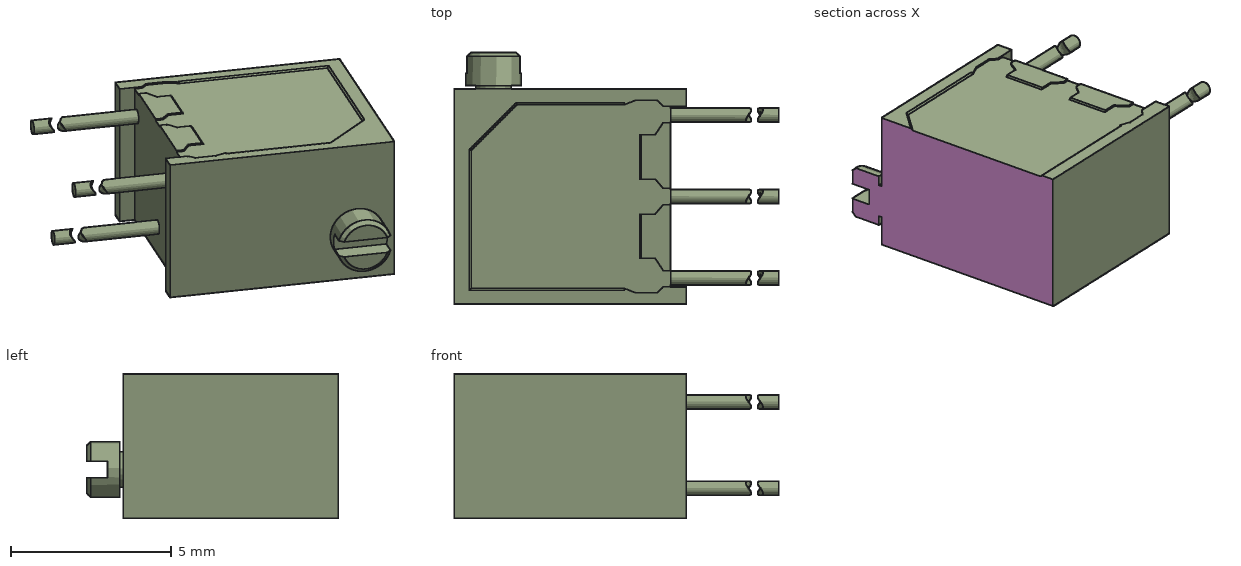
import cadquery as cq


overall_length = 10.12
housing_length = 7.24
housing_width = 6.71
housing_height = 4.5
mid_y = housing_width / 2

channel_depth = 0.49
channel_half_width = 2.81
channel_floor_x = housing_length - channel_depth

recess_depth = 0.05
recess_left_x = 0.47
recess_half_width = 2.92
recess_corner = 1.47
wall_draft = 0.06
recess_floor_z = housing_height - recess_depth

ear_start_x = 5.3
ear_full_x = 5.67
ear_end_x = 6.32
ear_half_width = 3.01
throat_x = 6.52

pad_left_x = 5.78
pad_draft = 0.05
pad_shoulder_x = 6.26
pad_inner_offset = 0.55
pad_outer_offset = 1.92
pad_flare_inner_offset = 0.25
pad_flare_outer_offset = 2.31

pin_diameter = 0.45
pin_pitch = 2.54
outer_pin_z = 3.63
middle_pin_z = 0.94
break_x = 9.18
break_gap = 0.36
break_twist = 0.086
break_margin = 0.04

screw_x = 1.22
screw_z = 1.53
neck_diameter = 1.11
neck_length = 0.1
head_diameter = 1.74
head_length = 1.04
head_chamfer = 0.13
slot_width = 0.51
slot_depth = 0.65


def recess_outline(inset):
    """Main part of the recess, shrunk by `inset` on its drafted walls."""
    left = recess_left_x + inset
    low = mid_y - recess_half_width + inset
    high = mid_y + recess_half_width - inset
    corner = recess_corner - (2 - 2 ** 0.5) * inset
    return [
        (left, low),
        (ear_start_x, low),
        (ear_start_x, high),
        (left + corner, high),
        (left, high - corner),
    ]


def drafted_prism(floor_points, top_points):
    """Solid between an outline on the recess floor and one on the top face."""
    return (
        cq.Workplane("XY", origin=(0, 0, recess_floor_z))
        .polyline(floor_points).close()
        .workplane(offset=recess_depth)
        .polyline(top_points).close()
        .loft(ruled=True, combine=True)
    )


def ear_volume():
    """Widened end of the recess, symmetric about the middle of the width."""
    start_half_width = recess_half_width - wall_draft
    upper_side = [
        (ear_start_x, start_half_width),
        (ear_full_x, ear_half_width),
        (ear_end_x, ear_half_width),
        (throat_x, channel_half_width),
        (channel_floor_x, channel_half_width),
    ]
    lower_side = [(x, -offset) for x, offset in reversed(upper_side)]
    return (
        cq.Workplane("XY", origin=(0, mid_y, recess_floor_z))
        .polyline(upper_side + lower_side).close()
        .extrude(recess_depth)
    )


def pad_outline(side, left):
    """Pad outline; `side` is +1 or -1 for the +Y or -Y pad."""
    points = [
        (left, pad_inner_offset),
        (pad_shoulder_x, pad_inner_offset),
        (throat_x, pad_flare_inner_offset),
        (channel_floor_x, pad_flare_inner_offset),
        (channel_floor_x, pad_flare_outer_offset),
        (throat_x, pad_flare_outer_offset),
        (pad_shoulder_x, pad_outer_offset),
        (left, pad_outer_offset),
    ]
    return [(x, mid_y + side * offset) for x, offset in points]


def make_recess():
    recess = drafted_prism(recess_outline(wall_draft), recess_outline(0)).union(ear_volume())
    for side in (-1, 1):
        pad = drafted_prism(pad_outline(side, pad_left_x), pad_outline(side, pad_left_x + pad_draft))
        recess = recess.cut(pad)
    return recess


def make_box():
    box = cq.Workplane("XY").box(housing_length, housing_width, housing_height, centered=False)
    channel = (
        cq.Workplane("XY", origin=(channel_floor_x, mid_y, 0))
        .box(channel_depth, 2 * channel_half_width, housing_height, centered=(False, True, False))
    )
    return box.cut(channel).cut(make_recess())


def make_screw():
    """Screw along +Y with a slotted, chamfered head."""
    face = cq.Workplane("XZ", origin=(screw_x, housing_width, screw_z))
    neck = face.circle(neck_diameter / 2).extrude(-neck_length)
    head = (
        face.workplane(offset=-neck_length)
        .circle(head_diameter / 2)
        .extrude(-head_length)
        .faces(">Y").chamfer(head_chamfer)
    )
    slot_middle_y = housing_width + neck_length + head_length - slot_depth / 2
    slot = (
        cq.Workplane("XY", origin=(screw_x, slot_middle_y, screw_z))
        .box(head_diameter, slot_depth, slot_width)
    )
    return neck.union(head.cut(slot))


def break_volume(pin_y, pin_z):
    """Gap in a pin, bounded along X by two equal saddle surfaces."""
    half_side = pin_diameter / 2 + break_margin
    rise = break_twist * half_side ** 2 / ((pin_diameter / 2) ** 2 / 2)

    def patch_edge(side):
        start = cq.Vector(break_x - side * rise, pin_y + side * half_side, pin_z - half_side)
        end = cq.Vector(break_x + side * rise, pin_y + side * half_side, pin_z + half_side)
        return cq.Edge.makeLine(start, end)

    saddle = cq.Face.makeRuledSurface(patch_edge(-1), patch_edge(1))
    return cq.Solid.extrudeLinear(saddle, cq.Vector(break_gap, 0, 0))


def make_pin(pin_y, pin_z):
    """Return the stub and the separate tip of one broken pin."""
    rod = (
        cq.Workplane("YZ", origin=(channel_floor_x, pin_y, pin_z))
        .circle(pin_diameter / 2)
        .extrude(overall_length - channel_floor_x)
    )
    broken = rod.cut(cq.Workplane(break_volume(pin_y, pin_z)))
    return broken.solids("<X"), broken.solids(">X")


housing = make_box().union(make_screw())
pin_tips = []
for position, pin_z in ((-1, outer_pin_z), (0, middle_pin_z), (1, outer_pin_z)):
    stub, tip = make_pin(mid_y + position * pin_pitch, pin_z)
    housing = housing.union(stub)
    pin_tips.append(tip.val())

result = cq.Compound.makeCompound([housing.val(), *pin_tips])